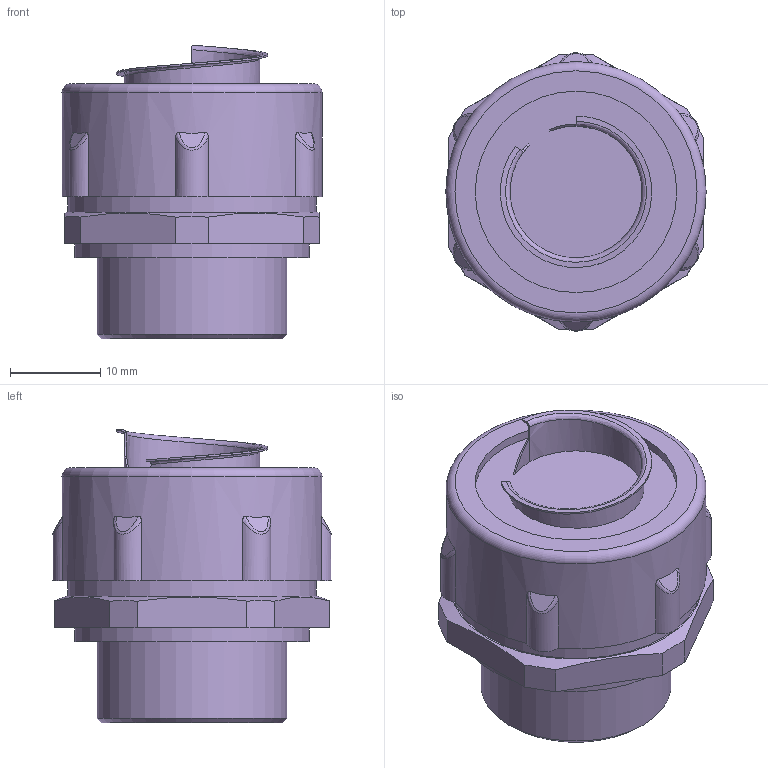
import cadquery as cq
import math

collar_base_z = 9.0
nut_base_z = 10.5
nut_top_z = 14.0
cap_base_z = 15.75
cap_top_z = 28.25
rib_top_z = 22.75
lip_top_z = 32.5

spigot_diameter = 21.0
spigot_chamfer = 0.5
collar_diameter = 26.0
neck_diameter = 27.5
cap_diameter = 28.8
cap_fillet = 1.0
recess_diameter = 22.3
recess_depth = 1.0

nut_sides = 6
nut_across_flats = 28.2
nut_across_corners = 30.5
nut_cone_top_diameter = 27.8
nut_cone_angle = 20.0

rib_count = 6
rib_radius = 2.0
rib_reach = 15.4
rib_slope_angle = 60.0
rib_edge_fillet = 0.5

wall_outer_radius = 7.5
wall_thickness = 0.2
lip_radius = 8.38
lip_bend_radius = 0.5
helix_pitch = 4.0
helix_low_angle = 143.0
helix_high_angle = 450.0
low_gusset_foot_angle = 135.0
low_gusset_height = 1.3
high_gusset_foot_angle = 113.0
high_gusset_height = 3.3

recess_floor_z = cap_top_z - recess_depth
wall_inner_radius = wall_outer_radius - wall_thickness
wall_root = 0.5


def disc(diameter, base_z, top_z):
    """Upright cylinder between two heights."""
    return cq.Workplane("XY").workplane(offset=base_z).circle(diameter / 2).extrude(top_z - base_z)


def make_body():
    """Stepped round body with a shallow recess in the cap."""
    spigot = disc(spigot_diameter, 0, collar_base_z).faces("<Z").chamfer(spigot_chamfer)
    collar = disc(collar_diameter, collar_base_z, nut_base_z)
    neck = disc(neck_diameter, nut_base_z, cap_base_z)
    cap = disc(cap_diameter, cap_base_z, cap_top_z).faces(">Z").edges().fillet(cap_fillet)
    recess = disc(recess_diameter, recess_floor_z, cap_top_z)
    return spigot.union(collar).union(neck).union(cap).cut(recess)


def make_nut():
    """Hexagonal nut with two flats across X, trimmed corners and a coned top edge."""
    half_side_angle = 180 / nut_sides
    corner_spread = nut_across_flats / math.cos(math.radians(half_side_angle))
    trim_spread = nut_across_corners / math.cos(math.radians(half_side_angle))
    height = nut_top_z - nut_base_z
    base = cq.Workplane("XY").workplane(offset=nut_base_z)
    turned_base = base.transformed(rotate=(0, 0, half_side_angle))
    hexagon = turned_base.polygon(nut_sides, corner_spread).extrude(height)
    corner_trim = base.polygon(nut_sides, trim_spread).extrude(height)

    top_radius = nut_cone_top_diameter / 2
    outer_radius = corner_spread / 2
    cone_drop = (outer_radius - top_radius) * math.tan(math.radians(nut_cone_angle))
    coned_blank = (
        cq.Workplane("XZ")
        .moveTo(0, nut_base_z)
        .lineTo(outer_radius, nut_base_z)
        .lineTo(outer_radius, nut_top_z - cone_drop)
        .lineTo(top_radius, nut_top_z)
        .lineTo(0, nut_top_z)
        .close()
        .revolve(360, (0, 0, 0), (0, 1, 0))
    )
    return hexagon.intersect(corner_trim).intersect(coned_blank)


def make_rib():
    """Round-nosed upright rib on the +X side, its top sloping down and outward."""
    center_x = rib_reach - rib_radius
    post = disc(2 * rib_radius, cap_base_z, cap_top_z).translate((center_x, 0, 0))
    slope_rise = math.tan(math.radians(rib_slope_angle))
    inner_x = center_x - 2 * rib_radius
    outer_x = rib_reach + rib_radius
    cap_radius = cap_diameter / 2
    slope_cut = (
        cq.Workplane("XZ")
        .moveTo(inner_x, rib_top_z + (cap_radius - inner_x) * slope_rise)
        .lineTo(outer_x, rib_top_z + (cap_radius - outer_x) * slope_rise)
        .lineTo(outer_x, 2 * cap_top_z)
        .lineTo(inner_x, 2 * cap_top_z)
        .close()
        .extrude(2 * rib_radius, both=True)
    )
    keep_depth = 2 * rib_radius
    outer_half = (
        cq.Workplane("XY")
        .box(keep_depth, 2 * keep_depth, 2 * cap_top_z, centered=(False, True, False))
        .translate((center_x, 0, 0))
    )
    rib = post.intersect(outer_half).cut(slope_cut)
    nose_edge = cq.selectors.NearestToPointSelector((rib_reach, 0, rib_top_z))
    return rib.edges(nose_edge).fillet(rib_edge_fillet)


def make_helical_wall():
    """Thin wall with a lip flared outward, carried upward along a helix."""
    turns = (helix_high_angle - helix_low_angle) / 360
    rise = helix_pitch * turns
    low_lip_z = lip_top_z - rise
    foot = -(lip_top_z - recess_floor_z + wall_root)
    outer_bend = lip_bend_radius - wall_thickness
    bend_mid = math.sin(math.radians(45))
    bend_x = wall_inner_radius + lip_bend_radius
    profile = (
        cq.Workplane("XZ")
        .moveTo(wall_inner_radius, foot)
        .lineTo(wall_inner_radius, -lip_bend_radius)
        .threePointArc(
            (bend_x - lip_bend_radius * bend_mid, lip_bend_radius * (bend_mid - 1)),
            (bend_x, 0),
        )
        .lineTo(lip_radius, 0)
        .lineTo(lip_radius, -wall_thickness)
        .lineTo(bend_x, -wall_thickness)
        .threePointArc(
            (bend_x - outer_bend * bend_mid, outer_bend * bend_mid - lip_bend_radius),
            (wall_outer_radius, -lip_bend_radius),
        )
        .lineTo(wall_outer_radius, foot)
        .close()
    )
    helix = cq.Wire.makeHelix(helix_pitch, rise, wall_outer_radius)
    wall = profile.sweep(cq.Workplane(obj=helix), isFrenet=True)
    return wall.rotate((0, 0, 0), (0, 0, 1), helix_low_angle).translate((0, 0, low_lip_z))


def make_gusset(wall_angle, foot_angle, height):
    """Triangular end of the wall, falling from wall_angle down to the floor at foot_angle."""
    middle_angle = (wall_angle + foot_angle) / 2
    half_angle = math.radians((foot_angle - wall_angle) / 2)
    half_chord = wall_outer_radius * math.sin(half_angle)
    ring_base_z = recess_floor_z - wall_root
    triangle = (
        cq.Workplane("YZ")
        .moveTo(-half_chord, ring_base_z)
        .lineTo(-half_chord, recess_floor_z + height)
        .lineTo(half_chord, recess_floor_z)
        .lineTo(half_chord, ring_base_z)
        .close()
        .extrude(2 * wall_outer_radius)
        .rotate((0, 0, 0), (0, 0, 1), middle_angle)
    )
    ring = disc(2 * wall_outer_radius, ring_base_z, lip_top_z).cut(
        disc(2 * wall_inner_radius, ring_base_z, lip_top_z)
    )
    return ring.intersect(triangle)


result = make_body().union(make_nut())
rib = make_rib()
for index in range(rib_count):
    rib_angle = 90 + index * 360 / rib_count
    result = result.union(rib.rotate((0, 0, 0), (0, 0, 1), rib_angle))
result = result.union(make_helical_wall())
result = result.union(make_gusset(helix_low_angle, low_gusset_foot_angle, low_gusset_height))
result = result.union(make_gusset(helix_high_angle - 360, high_gusset_foot_angle, high_gusset_height))